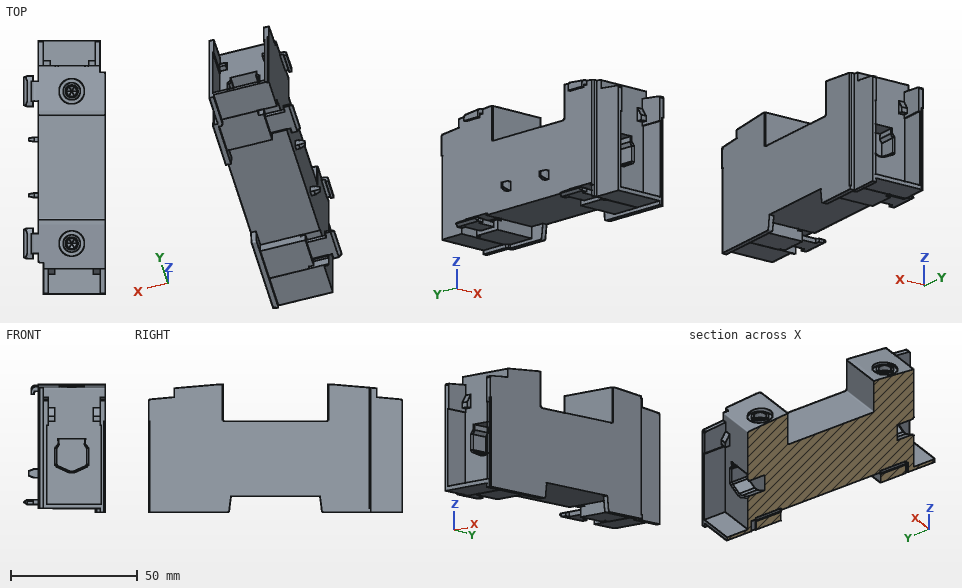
import cadquery as cq
import math

width = 26.5
half_length = 50.0
height = 50.5
base_z = 1.6
side_step = 2.1
center_x = width / 2

saddle_z = 36.0
saddle_half = 20.6
saddle_fillet = 0.5
saddle_edge_bevel = 0.4
tower_end_y = 40.0
crest_y = 22.5
tower_end_z = 49.0
tower_end_fillet = 0.5
top_slope = math.atan((height - tower_end_z) / (tower_end_y - crest_y))

step_y = 37.6
step_bevel = 0.6
box_rim_inner_z = 45.5
box_rim_outer_z = 44.6
rim_chamfer_z = 0.6
rim_chamfer_y = 0.4
box_floor_z = 3.3
thick_wall = 2.1
thin_wall = 1.8
wall_relief = 0.4
wall_relief_z = 34.4
end_relief_x = 0.7
end_relief_y = 0.4

stop_width = 2.7
stop_reach = 2.1
stop_top_z = 41.3
stop_nose_z = 38.0
stop_bottom_z = 35.9

entry_depth = 8.0
entry_rim_depth = 0.6
entry_half_outline = [(5.45, 29.0), (5.3, 27.0), (6.65, 25.3), (6.65, 18.7), (5.9, 17.9), (1.0, 15.7)]
entry_half_bore = [(5.2, 29.0), (5.0, 26.8), (6.0, 25.2), (6.0, 19.0), (5.4, 18.3), (0.9, 16.3)]

screw_y = 30.0
screw_well_diameter = 10.0
screw_well_depth = 1.2
screw_head_diameter = 6.8
screw_head_rise = 1.1
screw_recess_diameter = 5.0
screw_recess_depth = 2.3
screw_hex_corners = 4.6
screw_point_corners = 0.4
screw_point_depth = 1.2

rail_slot_z = 6.3
rail_slot_half_top = 17.5
rail_slot_half_bottom = 18.3
foot_fillet = 0.8
cavity_front_y = -37.0
cavity_back_y = 38.2
foot_jog_y = 36.3

latch_y = 30.0
latch_width = 12.1
latch_arm_width = 7.9
latch_reach = 5.7
latch_head_back_x = -2.0
latch_shoulder_x = -4.3
latch_bottom_z = 3.1
latch_top_z = 5.1
latch_tip_inset = 0.6
latch_end_drop = 0.6
latch_window_z = 7.1
latch_block_bottom_z = 1.5
latch_ledge_z = 5.65
latch_ledge_x = 6.0
latch_block_x = 8.0

hook_y_inner = 26.1
hook_y_outer = 34.0
hook_reach = 2.75
hook_radius = 1.8
hook_thickness = 1.15
hook_tip_z = 46.5

peg_y = 11.0
peg_z = 15.4
peg_base_width = 1.9
peg_base_height = 3.6
peg_tip_width = 1.0
peg_tip_height = 1.9
peg_shoulder = 1.5
peg_reach = 3.75

overcut = 1.0
pick_margin = 0.1


def box(x0, x1, y0, y1, z0, z1):
    return cq.Workplane("XY").box(x1 - x0, y1 - y0, z1 - z0, centered=False).translate((x0, y0, z0))


def both_ends(shape):
    """A shape together with its copy turned half a turn about the vertical centre line."""
    return shape.union(shape.rotate((center_x, 0, 0), (center_x, 0, 1), 180))


def tower_top_z(y):
    return height - (abs(y) - crest_y) * math.tan(top_slope)


def along_x(points, x0, x1):
    """Extrude a (Y, Z) outline from x0 to x1."""
    return cq.Workplane("YZ").polyline(points).close().extrude(x1 - x0).translate((x0, 0, 0))


def core_block():
    outline = [
        (tower_end_y, base_z), (tower_end_y, tower_end_z), (crest_y, height),
        (saddle_half, height), (saddle_half, saddle_z),
    ]
    mirrored = [(-y, z) for y, z in reversed(outline)]
    core = along_x(outline + mirrored, 0, width)
    core = core.edges(
        cq.selectors.BoxSelector((-overcut, -saddle_half - pick_margin, saddle_z - pick_margin),
                                 (width + overcut, saddle_half + pick_margin, saddle_z + pick_margin))
    ).edges("|X").fillet(saddle_fillet)
    for end in (-1, 1):
        corner = cq.selectors.NearestToPointSelector((center_x, end * tower_end_y, tower_end_z))
        core = core.edges("|X").edges(corner).fillet(tower_end_fillet)
        for x in (0, width):
            core = core.cut(saddle_wall_bevel(x, end * saddle_half))
    return core


def saddle_wall_bevel(x, y):
    """Prism that bevels one upright edge of a saddle wall, above the floor fillet."""
    bevel = cq.Workplane("XY").polygon(4, 2 * saddle_edge_bevel).extrude(height - saddle_z)
    return bevel.translate((x, y, saddle_z + saddle_fillet))


def side_step_cut():
    """Material removed from the left side at the -Y end, with the bevelled corner beside it."""
    cut = box(-overcut, side_step, -half_length - overcut, -step_y, -overcut, height + overcut)
    bevel = cq.Workplane("XY").polygon(4, 2 * step_bevel).extrude(height).translate((0, -step_y, 0))
    return cut.union(bevel)


def end_box():
    """Wiring box at the -Y end: floor and two upright walls, with two stops."""
    back_y = -tower_end_y
    rim = [
        (back_y, base_z), (-half_length, base_z), (-half_length, box_rim_outer_z - rim_chamfer_z),
        (-half_length + rim_chamfer_y, box_rim_outer_z), (back_y, box_rim_inner_z),
    ]
    left_inner = side_step + thin_wall
    right_inner = width - thick_wall
    shell = along_x(rim, side_step, width)
    shell = shell.cut(box(left_inner, right_inner, -half_length - overcut, back_y, box_floor_z, height))
    shell = shell.cut(box(left_inner - wall_relief, right_inner + wall_relief,
                          -half_length - overcut, back_y, box_floor_z, wall_relief_z))
    stop = [
        (back_y, stop_bottom_z), (back_y - stop_reach, stop_bottom_z),
        (back_y - stop_reach, stop_nose_z), (back_y, stop_top_z),
    ]
    shell = shell.union(along_x(stop, left_inner, left_inner + stop_width))
    return shell.union(along_x(stop, right_inner - stop_width, right_inner))


def end_relief():
    """Shallow rebate down the outer edge of the long wall at the -Y end."""
    return box(width - end_relief_x, width, -half_length, -half_length + end_relief_y, 0, saddle_z)


def wire_entry():
    """Shield-shaped blind opening in the back of the -Y box, with a bevelled rim."""
    def outline(y, half):
        points = half + [(-w, z) for w, z in reversed(half)]
        plane = cq.Plane(origin=(center_x, y, 0), xDir=(1, 0, 0), normal=(0, -1, 0))
        return cq.Workplane(plane).polyline(points).close()

    face_y = -tower_end_y
    bore = outline(face_y, entry_half_bore).extrude(-entry_depth)
    rim_outer = outline(face_y, entry_half_outline).val()
    rim_inner = outline(face_y + entry_rim_depth, entry_half_bore).val()
    rim = cq.Solid.makeLoft([rim_outer, rim_inner], True)
    return bore.union(cq.Workplane(rim))


def cavity():
    """Hollow under the housing, open below and on the left, closed by the right wall."""
    inner_x = width - thick_wall
    hollow = box(-overcut, inner_x, cavity_front_y, cavity_back_y, -overcut, rail_slot_z)
    return hollow.cut(box(inner_x - thin_wall, inner_x, foot_jog_y, half_length, -overcut, base_z))


def rail_slot():
    outline = [
        (-rail_slot_half_bottom, 0), (-rail_slot_half_top, rail_slot_z),
        (rail_slot_half_top, rail_slot_z), (rail_slot_half_bottom, 0),
    ]
    return along_x(outline, -overcut, width + overcut)


def right_foot():
    """Low rim carrying the right wall down to Z = 0; it jogs inwards at the +Y end."""
    inner_x = width - thick_wall
    foot = box(inner_x, width, -half_length, step_y, 0, base_z)
    jog_x = inner_x - thin_wall
    jog = box(jog_x, inner_x, foot_jog_y, half_length, 0, base_z)
    return foot.union(jog.edges("|Z and <X and <Y").chamfer(step_bevel))


def latch(y):
    head_outline = [
        (latch_head_back_x, latch_bottom_z), (latch_shoulder_x, latch_bottom_z),
        (-latch_reach, (latch_bottom_z + latch_top_z) / 2),
        (latch_shoulder_x, latch_top_z), (latch_head_back_x, latch_top_z),
    ]
    head = (cq.Workplane("XZ").polyline(head_outline).close()
            .extrude(latch_width / 2, both=True).translate((0, y, 0)))
    half = latch_width / 2
    plan = [
        (latch_head_back_x, y - half), (latch_shoulder_x, y - half),
        (-latch_reach, y - half + latch_tip_inset), (-latch_reach, y + half - latch_tip_inset),
        (latch_shoulder_x, y + half), (latch_head_back_x, y + half),
    ]
    head = head.intersect(cq.Workplane("XY").polyline(plan).close().extrude(rail_slot_z))
    side_outline = [
        (y - half, 0), (y - half, latch_top_z - latch_end_drop), (y - latch_arm_width / 2, latch_top_z),
        (y + latch_arm_width / 2, latch_top_z), (y + half, latch_top_z - latch_end_drop), (y + half, 0),
    ]
    head = head.intersect(along_x(side_outline, -latch_reach, 0))
    arm = box(latch_head_back_x, latch_ledge_x, y - latch_arm_width / 2, y + latch_arm_width / 2,
              latch_bottom_z, latch_top_z)
    return head.union(arm)


def latch_block(end):
    """Stepped block across the cavity that carries one latch arm; end is the sign of its Y."""
    half = latch_width / 2
    inner_y = end * (latch_y - half)
    outer_y = cavity_back_y if end > 0 else cavity_front_y
    y0, y1 = sorted((inner_y, outer_y))
    ledge = box(latch_ledge_x, latch_block_x, end * latch_y - half, end * latch_y + half,
                latch_block_bottom_z, latch_ledge_z)
    block = box(latch_block_x, width - thick_wall, y0, y1, latch_block_bottom_z, rail_slot_z)
    return ledge.union(block)


def latch_window(y):
    half = latch_width / 2
    return box(-overcut, latch_block_x, y - half, y + half, latch_block_bottom_z, latch_window_z)


def hook(end):
    """Curled lip that follows the slope of the tower top; end is the sign of its Y."""
    length = hook_y_outer - hook_y_inner
    top_z = tower_top_z(hook_y_inner)
    arc_x = -hook_reach + hook_radius
    arc_z = top_z - hook_radius
    inner_radius = hook_radius - hook_thickness
    tail_z = hook_tip_z - overcut
    c45 = math.sqrt(0.5)
    profile = (
        cq.Workplane("XZ")
        .moveTo(saddle_edge_bevel, top_z)
        .lineTo(arc_x, top_z)
        .threePointArc((arc_x - hook_radius * c45, arc_z + hook_radius * c45), (-hook_reach, arc_z))
        .lineTo(-hook_reach, tail_z)
        .lineTo(arc_x - inner_radius, tail_z)
        .lineTo(arc_x - inner_radius, arc_z - inner_radius)
        .threePointArc((arc_x - inner_radius * c45, arc_z - inner_radius * (1 - c45)), (arc_x, arc_z))
        .lineTo(saddle_edge_bevel, arc_z)
        .close()
    )
    path = cq.Vector(0, end * length, -length * math.tan(top_slope))
    lip = cq.Solid.extrudeLinear(profile.val(), [], path).translate(cq.Vector(0, end * hook_y_inner, 0))
    return cq.Workplane(lip).intersect(
        box(-hook_reach - overcut, saddle_edge_bevel, -half_length, half_length, hook_tip_z, height))


def peg(y):
    base_plane = cq.Plane(origin=(0, y, peg_z), xDir=(0, 1, 0), normal=(-1, 0, 0))
    shank = cq.Workplane(base_plane).rect(peg_base_width, peg_base_height).extrude(peg_shoulder)
    tip = (cq.Workplane(base_plane).workplane(offset=peg_shoulder)
           .rect(peg_base_width, peg_base_height)
           .workplane(offset=peg_reach - peg_shoulder).rect(peg_tip_width, peg_tip_height)
           .loft(ruled=True))
    return shank.union(tip)


def screw_cut(end):
    """Well round a raised screw head with a round recess ending in a hexagonal point."""
    def level(z):
        return cq.Workplane("XY", origin=(center_x, end * screw_y, z))

    surface_z = tower_top_z(screw_y)
    floor_z = surface_z - screw_well_depth
    head_z = floor_z + screw_head_rise
    recess_z = head_z - screw_recess_depth
    well = level(floor_z).circle(screw_well_diameter / 2).extrude(height - floor_z)
    head = level(floor_z).circle(screw_head_diameter / 2).extrude(screw_head_rise)
    recess = level(recess_z).circle(screw_recess_diameter / 2).extrude(screw_recess_depth)
    point = (level(recess_z).polygon(6, screw_hex_corners)
             .workplane(offset=-screw_point_depth).polygon(6, screw_point_corners).loft(ruled=True))
    return well.cut(head).union(recess).union(point)


body = core_block().cut(both_ends(side_step_cut()))
body = body.union(both_ends(end_box()))
body = body.cut(both_ends(wire_entry()))
body = body.union(right_foot())
body = body.cut(cavity())
body = body.cut(both_ends(end_relief()))
body = body.cut(rail_slot())

for end in (-1, 1):
    body = body.cut(latch_window(end * latch_y))
    body = body.union(latch(end * latch_y))
    body = body.union(latch_block(end))
    body = body.union(hook(end))
    body = body.union(peg(end * peg_y))
    body = body.cut(screw_cut(end))
    foot_corner = cq.selectors.NearestToPointSelector((width, end * rail_slot_half_bottom, 0))
    body = body.edges("|X").edges(foot_corner).fillet(foot_fillet)

result = body